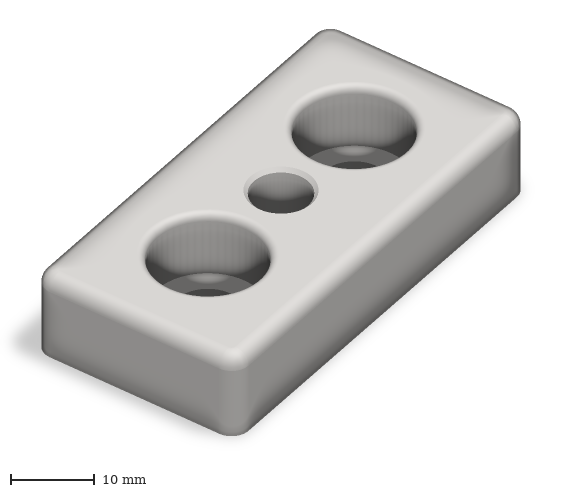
import cadquery as cq

width = 30.0
length = 60.0
height = 12.0
corner_radius = 2.5
top_edge_radius = 2.0

screw_spacing = length / 2
screw_hole_diameter = 9.0
counterbore_diameter = 15.0
counterbore_depth = 9.0
counterbore_rim_radius = 1.0

centre_hole_diameter = 8.0
centre_rim_diameter = 9.0
centre_rim_angle = 90.0


def make_block():
    """Block standing on Z = 0 with rounded upright corners and top edges."""
    block = cq.Workplane("XY").box(width, length, height, centered=(True, True, False))
    block = block.edges("|Z").fillet(corner_radius)
    return block.faces(">Z").edges().fillet(top_edge_radius)


def drill_screw_holes(body):
    """Two counterbored through holes on the long axis, with rounded rims."""
    drilled = (
        body.faces(">Z")
        .workplane(origin=(0, 0, height))
        .rarray(0.6, screw_spacing, 1, 2)
        .cboreHole(screw_hole_diameter, counterbore_diameter, counterbore_depth)
    )
    rims = cq.selectors.RadiusNthSelector(-1)
    return drilled.faces(">Z").edges(rims).fillet(counterbore_rim_radius)


def drill_centre_hole(body):
    """Through hole in the middle of the block with a chamfered top rim."""
    return (
        body.faces(">Z")
        .workplane(origin=(0, 0, height))
        .cskHole(centre_hole_diameter, centre_rim_diameter, centre_rim_angle)
    )


result = drill_centre_hole(drill_screw_holes(make_block()))